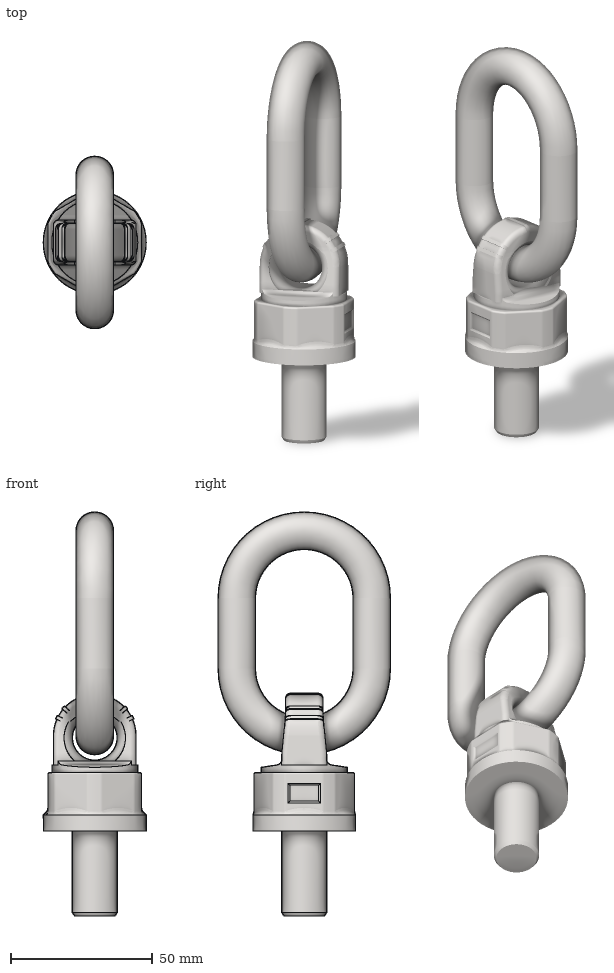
import cadquery as cq
import math


WIRE_RADIUS = 13.3 / 2
LINK_WIDTH = 61.0
LINK_STRAIGHT = 24.9
LINK_TOP = 113.0

SHANK_RADIUS = 8.0
SHANK_LENGTH = 30.0
SHANK_TIP_LENGTH = 1.3
SHANK_TIP_INSET = 0.9
FLANGE_RADIUS = 36.5 / 2
FLANGE_HEIGHT = 5.7
HEX_APOTHEM = 16.6
HEX_CORNER_RADIUS = 17.9
HEX_TOP = 20.7
HEX_EDGE_FILLET = 2.1
FOOT_FILLET = 2.0
RIM_CLEARANCE = 0.07
RIM_FILLET = 0.7

LABEL_WIDTH = 11.5
LABEL_HEIGHT = 7.0
LABEL_CENTRE_Z = 13.5
LABEL_DEPTH = 0.6
LABEL_TAPER = 50.0

DISC_RADIUS = 30.5 / 2
DISC_TOP = 23.5
DISC_RIM_TOP = 22.6
FOOT_HALF_DEPTH = 9.7
FOOT_TOP = 24.9
FOOT_ARC_OFFSET = 0.6
EYE_BASE_HALF_DEPTH = 8.0
EYE_TOP_HALF_DEPTH = 6.7
EYE_TAPER_START = 26.7
EYE_TAPER_END = 40.0
EYE_TAPER_BLEND = 0.7
EYE_HALF_WIDTH = 29.3 / 2
EYE_ARC_CENTRE = 33.7
EYE_EDGE_FILLET = 2.0
HOLE_RADIUS = 7.9
HOLE_CENTRE = 33.0
HOLE_STRAIGHT_HALF = 3.9
HOLE_FLARE = 3.0
RIB_ANGLES = (26.0, 42.0, 90.0, 138.0, 154.0)
RIB_WIDTH = 1.3
RIB_HEIGHT = 0.5
RIB_ROOT = 2.6

EYE_TOP = EYE_ARC_CENTRE + EYE_HALF_WIDTH


def make_link():
    """Round wire swept along a closed oval in the YZ plane."""
    bend = LINK_WIDTH / 2 - WIRE_RADIUS
    half = LINK_STRAIGHT / 2
    centre = LINK_TOP - LINK_WIDTH / 2 - half
    path = (
        cq.Workplane("YZ", origin=(0, 0, centre))
        .moveTo(bend, -half)
        .lineTo(bend, half)
        .threePointArc((0, half + bend), (-bend, half))
        .lineTo(-bend, -half)
        .threePointArc((0, -half - bend), (bend, -half))
        .close()
    )
    wire_plane = cq.Workplane("XY", origin=(0, bend, centre - half))
    return wire_plane.circle(WIRE_RADIUS).sweep(path)


def make_shank():
    """Cylindrical shank with a chamfered tip."""
    return (
        cq.Workplane("XZ")
        .moveTo(0, 0)
        .lineTo(SHANK_RADIUS, 0)
        .lineTo(SHANK_RADIUS, SHANK_TIP_LENGTH - SHANK_LENGTH)
        .lineTo(SHANK_RADIUS - SHANK_TIP_INSET, -SHANK_LENGTH)
        .lineTo(0, -SHANK_LENGTH)
        .close()
        .revolve(360, (0, 0, 0), (0, 1, 0))
    )


def make_hexagon():
    """Hexagon with flats facing +X and -X and its corners turned to a cylinder."""
    corner_diameter = 2 * HEX_APOTHEM / math.cos(math.pi / 6)
    hexagon = (
        cq.Workplane("XY")
        .polygon(6, corner_diameter)
        .extrude(HEX_TOP)
        .rotate((0, 0, 0), (0, 0, 1), 30)
    )
    hexagon = hexagon.intersect(cq.Workplane("XY").circle(HEX_CORNER_RADIUS).extrude(HEX_TOP))
    hexagon = hexagon.edges("|Z").fillet(HEX_EDGE_FILLET)
    return hexagon.faces(">Z").edges().fillet(RIM_FILLET)


def make_flange():
    """Flange disc whose top rises towards the axis as a 45 degree cone."""
    cone = (
        cq.Workplane("XZ")
        .lineTo(FLANGE_RADIUS, 0)
        .lineTo(FLANGE_RADIUS, FLANGE_HEIGHT)
        .lineTo(0, FLANGE_HEIGHT + FLANGE_RADIUS)
        .close()
        .revolve(360, (0, 0, 0), (0, 1, 0))
    )
    return cone.intersect(cq.Workplane("XY").circle(FLANGE_RADIUS).extrude(HEX_TOP / 2))


def make_label_recess(side):
    """Tapered pocket in the flat that faces +X (side = 1) or -X (side = -1)."""
    return (
        cq.Workplane("YZ", origin=(side * HEX_APOTHEM, 0, LABEL_CENTRE_Z))
        .rect(LABEL_WIDTH, LABEL_HEIGHT)
        .extrude(-side * LABEL_DEPTH, taper=LABEL_TAPER)
    )


def make_base():
    """Flange, hexagon and shank in one piece, with a concave fillet around the foot of the hexagon."""
    base = make_flange().union(make_hexagon())
    foot_zone = cq.selectors.BoxSelector(
        (-FLANGE_RADIUS, -FLANGE_RADIUS, FLANGE_HEIGHT + RIM_CLEARANCE),
        (FLANGE_RADIUS, FLANGE_RADIUS, HEX_TOP / 2),
        boundingbox=True,
    )
    base = base.edges(foot_zone).fillet(FOOT_FILLET)
    for side in (1, -1):
        base = base.cut(make_label_recess(side))
    return base.union(make_shank())


def slab(bottom, top, half_width):
    """Block between two heights, limited in X, that spans the whole disc in Y."""
    return (
        cq.Workplane("XY")
        .workplane(offset=bottom)
        .rect(2 * half_width, 2 * DISC_RADIUS)
        .extrude(top - bottom)
    )


def make_lug():
    """Arched plate, thinner towards the top, with rounded outer edges."""
    outline = (
        cq.Workplane("XZ")
        .moveTo(-EYE_HALF_WIDTH, HEX_TOP)
        .lineTo(EYE_HALF_WIDTH, HEX_TOP)
        .lineTo(EYE_HALF_WIDTH, EYE_ARC_CENTRE)
        .threePointArc((0, EYE_TOP), (-EYE_HALF_WIDTH, EYE_ARC_CENTRE))
        .close()
        .extrude(DISC_RADIUS, both=True)
    )
    slope = (EYE_BASE_HALF_DEPTH - EYE_TOP_HALF_DEPTH) / (EYE_TAPER_END - EYE_TAPER_START)
    blend_shift = slope * EYE_TAPER_BLEND
    section = (
        cq.Workplane("YZ")
        .moveTo(0, HEX_TOP)
        .lineTo(EYE_BASE_HALF_DEPTH, HEX_TOP)
        .lineTo(EYE_BASE_HALF_DEPTH, EYE_TAPER_START - EYE_TAPER_BLEND)
        .threePointArc(
            (EYE_BASE_HALF_DEPTH - blend_shift / 4, EYE_TAPER_START),
            (EYE_BASE_HALF_DEPTH - blend_shift, EYE_TAPER_START + EYE_TAPER_BLEND),
        )
        .lineTo(EYE_TOP_HALF_DEPTH + blend_shift, EYE_TAPER_END - EYE_TAPER_BLEND)
        .threePointArc(
            (EYE_TOP_HALF_DEPTH + blend_shift / 4, EYE_TAPER_END),
            (EYE_TOP_HALF_DEPTH, EYE_TAPER_END + EYE_TAPER_BLEND),
        )
        .lineTo(EYE_TOP_HALF_DEPTH, EYE_TOP)
        .lineTo(0, EYE_TOP)
        .mirrorY()
        .extrude(DISC_RADIUS, both=True)
    )
    lug = outline.intersect(section)
    return lug.edges("not(|X or |Y)").fillet(EYE_EDGE_FILLET)


def make_disc():
    """Round plate with a concave fillet up to the lug and a top that slopes off towards +Y and -Y."""
    arc_mid_y = EYE_BASE_HALF_DEPTH + FOOT_ARC_OFFSET
    arc_mid_z = DISC_TOP + FOOT_ARC_OFFSET
    section = (
        cq.Workplane("YZ")
        .moveTo(0, HEX_TOP)
        .lineTo(DISC_RADIUS, HEX_TOP)
        .lineTo(DISC_RADIUS, DISC_RIM_TOP)
        .lineTo(FOOT_HALF_DEPTH, DISC_TOP)
        .threePointArc((arc_mid_y, arc_mid_z), (EYE_BASE_HALF_DEPTH, FOOT_TOP))
        .lineTo(0, FOOT_TOP)
        .mirrorY()
        .extrude(DISC_RADIUS, both=True)
    )
    cylinder = cq.Workplane("XY").workplane(offset=HEX_TOP).circle(DISC_RADIUS).extrude(FOOT_TOP - HEX_TOP)
    foot = section.intersect(cylinder)
    disc = foot.intersect(slab(HEX_TOP, DISC_TOP, DISC_RADIUS))
    return disc.union(foot.intersect(slab(HEX_TOP, FOOT_TOP, EYE_HALF_WIDTH)))


def make_hole_half(side):
    """Half of the hole along Y, flaring out in a quarter round towards the side (1 or -1) face."""
    flare_end = HOLE_STRAIGHT_HALF + HOLE_FLARE
    flare_radius = HOLE_RADIUS + HOLE_FLARE
    arc_step = HOLE_FLARE * math.sqrt(0.5)
    return (
        cq.Workplane("XY")
        .lineTo(HOLE_RADIUS, 0)
        .lineTo(HOLE_RADIUS, side * HOLE_STRAIGHT_HALF)
        .threePointArc(
            (flare_radius - arc_step, side * (HOLE_STRAIGHT_HALF + arc_step)),
            (flare_radius, side * flare_end),
        )
        .lineTo(flare_radius, side * DISC_RADIUS)
        .lineTo(0, side * DISC_RADIUS)
        .close()
        .revolve(360, (0, 0, 0), (0, 1, 0))
        .translate((0, 0, HOLE_CENTRE))
    )


def make_rib(angle):
    """Narrow raised bar across the crown of the eye at an angle above the +X axis."""
    length = RIB_ROOT + RIB_HEIGHT
    centre_radius = EYE_HALF_WIDTH + RIB_HEIGHT - length / 2
    return (
        cq.Workplane("XY")
        .box(length, 2 * EYE_TOP_HALF_DEPTH, RIB_WIDTH)
        .edges(">X and |Z")
        .fillet(EYE_EDGE_FILLET)
        .translate((centre_radius, 0, 0))
        .rotate((0, 0, 0), (0, 1, 0), -angle)
        .translate((0, 0, EYE_ARC_CENTRE))
    )


def make_eye():
    """Lug on its disc, pierced by the flared hole and crossed by the raised ribs."""
    lug = make_lug().intersect(slab(DISC_TOP, EYE_TOP, DISC_RADIUS))
    for side in (1, -1):
        lug = lug.cut(make_hole_half(side))
    eye = lug.union(make_disc())
    for angle in RIB_ANGLES:
        eye = eye.union(make_rib(angle))
    return eye


link = make_link()
base = make_base()
eye = make_eye()

result = cq.Compound.makeCompound([link.val(), base.val(), eye.val()])